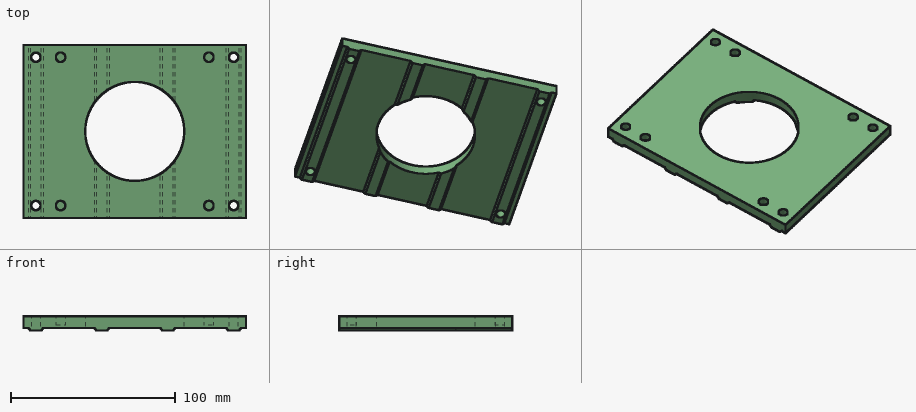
import cadquery as cq

length = 135.0
width = 105.0
height = 8.9

ridge_height = 1.6
ridge_base = 9.0
ridge_crest = 6.5
inner_ridge_x = 20.0

plate_thickness = height - ridge_height

bore_diameter = 60.0
through_hole_diameter = 5.5
through_hole_x = 60.0
blind_hole_diameter = 5.8
blind_hole_x = 45.0
blind_hole_depth = 5.4
hole_row_y = 45.0

outer_ridge_x = through_hole_x
ridge_positions = (-outer_ridge_x, -inner_ridge_x, inner_ridge_x, outer_ridge_x)


def make_plate():
    """Flat plate with its underside on Z = 0."""
    return cq.Workplane("XY").box(length, width, plate_thickness, centered=(True, True, False))


def make_ridge(x_center):
    """Trapezoidal ridge hanging below the plate."""
    profile = [
        (x_center - ridge_base / 2, 0),
        (x_center + ridge_base / 2, 0),
        (x_center + ridge_crest / 2, -ridge_height),
        (x_center - ridge_crest / 2, -ridge_height),
    ]
    return cq.Workplane("XZ").polyline(profile).close().extrude(width / 2, both=True)


def drill_corners(body, x_offset, diameter, depth=None):
    """Drill four mirrored holes from the top face; no depth means right through."""
    return (
        body.faces(">Z")
        .workplane(origin=(0, 0, plate_thickness))
        .rect(2 * x_offset, 2 * hole_row_y, forConstruction=True)
        .vertices()
        .hole(diameter, depth)
    )


result = make_plate()
for ridge_x in ridge_positions:
    result = result.union(make_ridge(ridge_x))

result = result.faces(">Z").workplane(origin=(0, 0, plate_thickness)).hole(bore_diameter)

result = drill_corners(result, through_hole_x, through_hole_diameter)
result = drill_corners(result, blind_hole_x, blind_hole_diameter, blind_hole_depth)